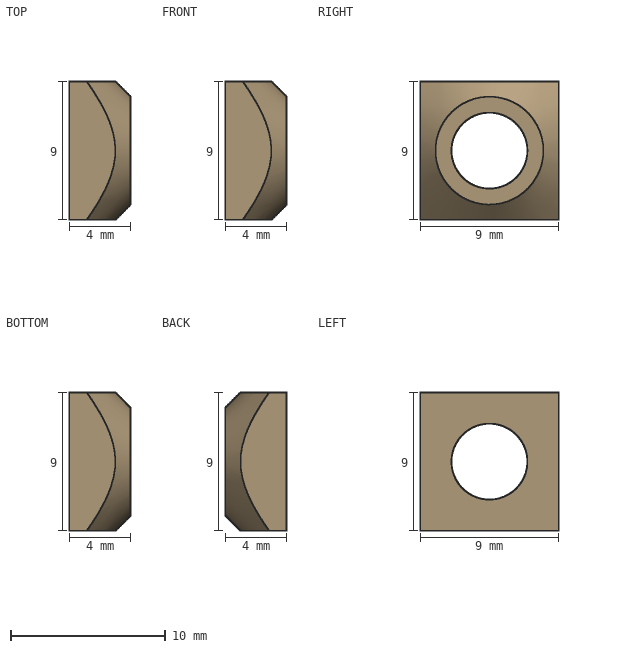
import cadquery as cq

side = 9.0
thickness = 4.0
hole_diameter = 4.91
chamfer = 1.0

face_radius = side / 2 - chamfer
base_radius = face_radius + thickness


def square_block():
    """Square plate with its flat face on X = 0."""
    return cq.Workplane("YZ").rect(side, side).extrude(thickness)


def conical_envelope():
    """45 degree cone about X that bevels the corners and sides of the plate."""
    return (
        cq.Workplane("XY")
        .polyline([(0, 0), (0, base_radius), (thickness, face_radius), (thickness, 0)])
        .close()
        .revolve(360, (0, 0, 0), (1, 0, 0))
    )


def through_hole():
    """Round bore along X."""
    return cq.Workplane("YZ").circle(hole_diameter / 2).extrude(thickness)


result = square_block().intersect(conical_envelope()).cut(through_hole())